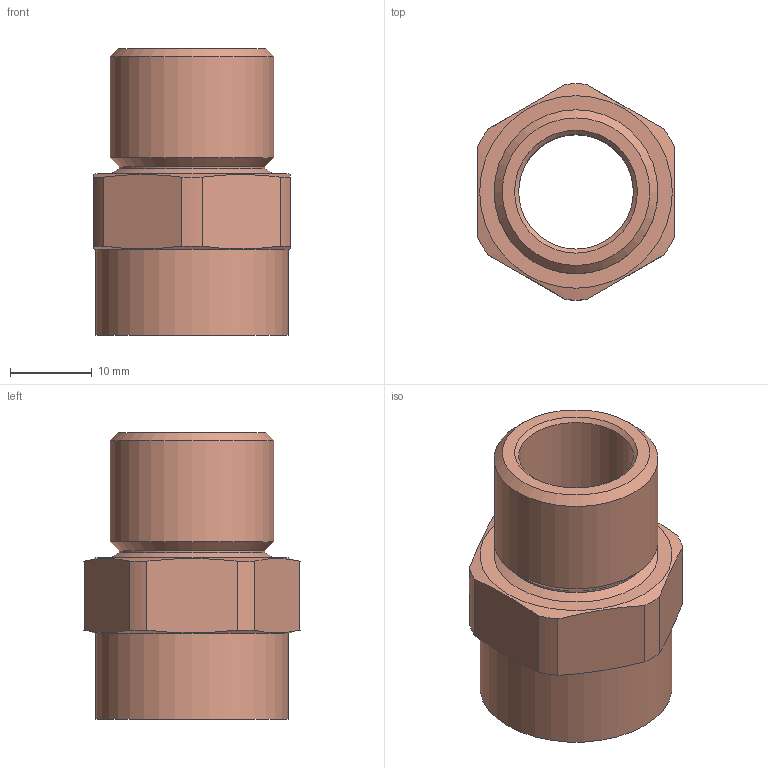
import cadquery as cq
import math

total_height = 35.0
hex_bottom = 10.5
hex_top = 19.7

across_flats = 24.0
corner_radius = 26.4 / 2
body_radius = 23.5 / 2
hex_chamfer_angle = 15.0

spigot_radius = 20.0 / 2
spigot_chamfer = 1.0
neck_radius = 8.9
neck_foot_angle = 30.0
neck_top = 20.6

bore_radius = 14.0 / 2
bore_chamfer = 0.5


def revolve_outline(points):
    """Revolve a closed (radius, height) outline around the Z axis."""
    return cq.Workplane("XZ").polyline(points).close().revolve(360, (0, 0, 0), (0, 1, 0))


def make_lower_body():
    return cq.Workplane("XY").circle(body_radius).extrude(hex_bottom)


def make_hex_collar():
    """Hexagon with flats facing +/-X, its corners turned round and chamfered at both ends."""
    collar_height = hex_top - hex_bottom
    across_corners = across_flats / math.cos(math.radians(30))
    hexagon = (
        cq.Workplane("XY")
        .workplane(offset=hex_bottom)
        .polygon(6, across_corners)
        .extrude(collar_height)
        .rotate((0, 0, 0), (0, 0, 1), 30)
    )
    chamfer_height = (corner_radius - body_radius) * math.tan(math.radians(hex_chamfer_angle))
    turned_envelope = revolve_outline([
        (0, hex_bottom),
        (body_radius, hex_bottom),
        (corner_radius, hex_bottom + chamfer_height),
        (corner_radius, hex_top - chamfer_height),
        (body_radius, hex_top),
        (0, hex_top),
    ])
    return hexagon.intersect(turned_envelope)


def make_spigot():
    """Upper cylinder standing on the flared neck, with 45 degree cones at both ends."""
    undercut_depth = spigot_radius - neck_radius
    undercut_top = neck_top + undercut_depth
    neck_bottom = hex_top + undercut_depth * math.tan(math.radians(neck_foot_angle))
    return revolve_outline([
        (0, hex_top),
        (spigot_radius, hex_top),
        (neck_radius, neck_bottom),
        (neck_radius, neck_top),
        (spigot_radius, undercut_top),
        (spigot_radius, total_height - spigot_chamfer),
        (spigot_radius - spigot_chamfer, total_height),
        (0, total_height),
    ])


def make_bore():
    """Through bore, chamfered at the spigot end."""
    return revolve_outline([
        (0, 0),
        (bore_radius, 0),
        (bore_radius, total_height - bore_chamfer),
        (bore_radius + bore_chamfer, total_height),
        (0, total_height),
    ])


result = make_lower_body().union(make_hex_collar()).union(make_spigot()).cut(make_bore())